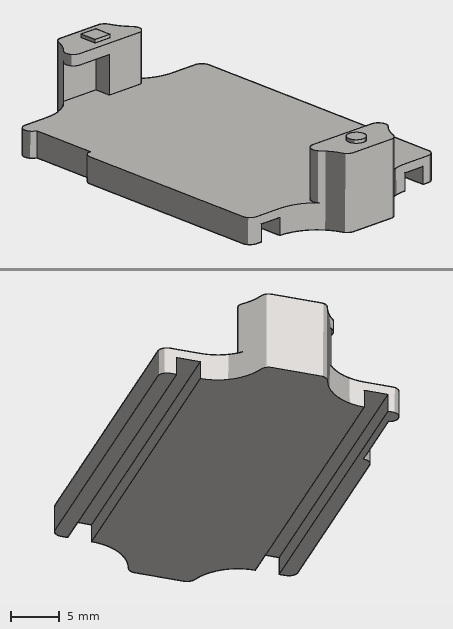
import cadquery as cq
import math

total_length = 43.7
plate_length = 34.75
plate_width = 26.45
plate_height = 3.0
round_radius = 1.0

scallop_radius = 5.6
scallop_start_y = 8.9

total_height = 9.2
pin_height = 0.4
pin_size = 2.1
pin_x = 19.45
notch_depth = 2.0
lip_thickness = 1.25

recess_end_x = -7.45
nub_center_y = -12.0

channel_outer_y = 11.5
channel_height = 2.0

half_length = total_length / 2
end_x = plate_length / 2
side_y = plate_width / 2
tab_reach = half_length - end_x
post_top = total_height - pin_height
corner_y = side_y - round_radius
recess_y = -corner_y
scallop_center_x = end_x + scallop_radius


def tangent_round(offset):
    """Center and scallop contact point of a round tangent to the +X, +Y scallop.

    The round's center lies `offset` outward from the plate's end edge.
    """
    run = scallop_radius - offset
    rise = math.sqrt((scallop_radius + round_radius) ** 2 - run**2)
    center = (end_x + offset, scallop_start_y - rise)
    share = scallop_radius / (scallop_radius + round_radius)
    contact = (scallop_center_x - share * run, scallop_start_y - share * rise)
    return center, contact


def arc_middle(center, radius, start, end):
    """Middle of the shorter arc between two points of a circle."""
    dx = (start[0] + end[0]) / 2 - center[0]
    dy = (start[1] + end[1]) / 2 - center[1]
    scale = radius / math.hypot(dx, dy)
    return (center[0] + scale * dx, center[1] + scale * dy)


scallop_center = (scallop_center_x, scallop_start_y)
tab_center, tab_contact = tangent_round(tab_reach - round_radius)
post_center, post_contact = tangent_round(round_radius)
post_end_y = post_center[1] + round_radius


def tab_outline(start, lead_in=None):
    """Closed +X tab outline, symmetric about X.

    It runs along the end edge, an optional lead-in round, the scallop, the tab corner
    and the outer edge. Without a lead-in round the scallop begins at `start`.
    """
    edge_start = start
    scallop_start = start
    upper_arcs = []
    if lead_in:
        scallop_start = lead_in
        upper_arcs.append((post_center, round_radius, edge_start, scallop_start))
    tab_end = (half_length, tab_center[1])
    upper_arcs.append((scallop_center, scallop_radius, scallop_start, tab_contact))
    upper_arcs.append((tab_center, round_radius, tab_contact, tab_end))

    outline = cq.Workplane("XY").moveTo(*edge_start)
    for center, radius, begin, end in upper_arcs:
        outline = outline.threePointArc(arc_middle(center, radius, begin, end), end)
    outline = outline.lineTo(tab_end[0], -tab_end[1])
    for center, radius, begin, end in reversed(upper_arcs):
        middle = arc_middle(center, radius, begin, end)
        outline = outline.threePointArc((middle[0], -middle[1]), (begin[0], -begin[1]))
    return outline.close()


def box_between(low, high):
    """Box spanning two opposite corners."""
    size = [b - a for a, b in zip(low, high)]
    return cq.Workplane("XY").box(*size, centered=False).translate(low)


def make_plate():
    """Rounded plate with a shallow front-edge recess and a nub at the recess's end."""
    plate = cq.Workplane("XY").rect(plate_length, plate_width).extrude(plate_height)
    recess = box_between((-end_x, -side_y, 0), (recess_end_x, recess_y, plate_height))
    recess_corner = (
        cq.Workplane("XY")
        .moveTo(recess_end_x, recess_y)
        .radiusArc((recess_end_x + round_radius, -side_y), -round_radius)
        .lineTo(recess_end_x, -side_y)
        .close()
        .extrude(plate_height)
    )
    plate = plate.edges("|Z").edges(">Y or >X").fillet(round_radius)
    plate = plate.cut(recess).cut(recess_corner)

    nub_center_x = -end_x + round_radius
    nub_corner = box_between((-end_x, recess_y, 0), (nub_center_x, nub_center_y, plate_height))
    nub = (
        cq.Workplane("XY")
        .center(nub_center_x, nub_center_y)
        .circle(round_radius)
        .extrude(plate_height)
    )
    return plate.cut(nub_corner).union(nub)


def make_tab_and_post():
    """+X tab at plate height, with the post rising from it."""
    tab = tab_outline((end_x, scallop_start_y)).extrude(plate_height)
    post = tab_outline((end_x, post_center[1]), post_contact).extrude(post_top)
    return tab.union(post)


def make_lip_notch():
    """Notch in the inner face of the -X post, over its front half, with a lip above it."""
    return box_between(
        (-end_x - notch_depth, -post_end_y, plate_height),
        (-end_x, 0, post_top - lip_thickness),
    )


def make_channel():
    """Open channel along the underside, near the +Y edge."""
    return box_between(
        (-end_x, scallop_start_y, 0),
        (end_x, channel_outer_y, channel_height),
    )


tab_and_post = make_tab_and_post()
channel = make_channel()
top_plane = cq.Workplane("XY").workplane(offset=post_top)
square_pin = top_plane.center(-pin_x, 0).rect(pin_size, pin_size).extrude(pin_height)
round_pin = top_plane.center(pin_x, 0).circle(pin_size / 2).extrude(pin_height)

result = (
    make_plate()
    .union(tab_and_post)
    .union(tab_and_post.mirror("YZ").cut(make_lip_notch()))
    .union(square_pin)
    .union(round_pin)
    .cut(channel)
    .cut(channel.mirror("XZ"))
)